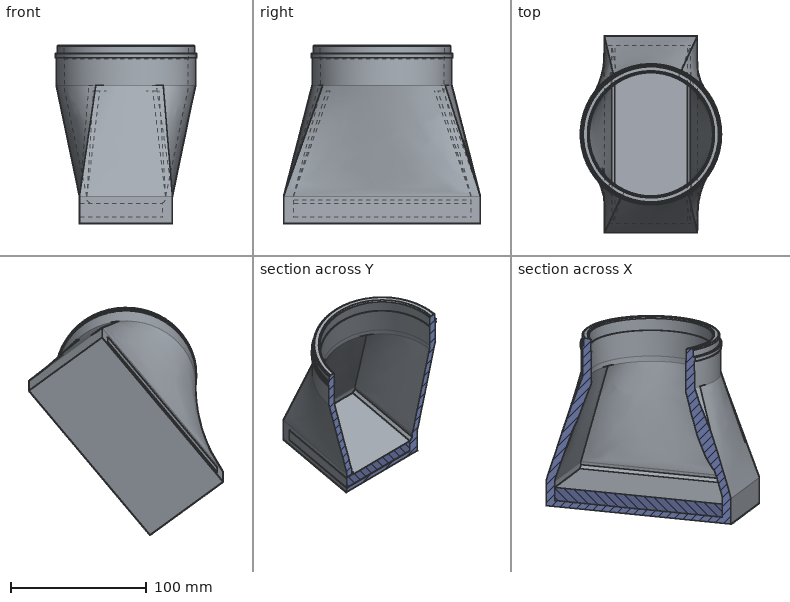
import cadquery as cq
import math

foot_x = 68.5
foot_y = 145.0
foot_height = 20.0

total_height = 131.5
transition_height = 82.0
collar_bottom = foot_height + transition_height
collar_height = 20.0
collar_radius = 103.0 / 2
rib_radius = 104.0 / 2
rib_bottom = collar_bottom + collar_height
rib_top = rib_bottom + 3.5
rib_chamfer = 0.4
spigot_radius = 101.6 / 2
spigot_chamfer = 1.0

spigot_bore_radius = 91.6 / 2
collar_bore_radius = 91.0 / 2
duct_top_radius = 90.8 / 2
spigot_bore_bottom = 121.5
duct_top = collar_bottom - 4.0

plate_margin_y = 7.0
plate_margin_z = 5.0
plate_y = foot_y - 2 * plate_margin_y
plate_thickness = foot_height - 2 * plate_margin_z
plate_top = plate_margin_z + plate_thickness

duct_x = 58.0
duct_y = plate_y
throat_chamfer = 2.4
throat_x = duct_x - 2 * throat_chamfer
throat_top = plate_top + throat_chamfer

short_side_arc = math.pi * foot_x / (foot_x + foot_y)
long_side_arc = math.pi - short_side_arc


def revolved(profile):
    """Turn a list of (radius, z) points about the Z axis, closing it along the axis."""
    axis_bottom = (0, profile[0][1])
    axis_top = (0, profile[-1][1])
    outline = cq.Workplane("XZ").polyline([axis_bottom] + profile + [axis_top]).close()
    return outline.revolve(360, (0, 0), (0, 1))


def square_to_round(size_x, size_y, z_bottom, radius, z_top):
    """Solid blending a rectangle into a circle, with one ruled face for each rectangle side."""

    def rim_point(angle):
        return cq.Vector(radius * math.cos(angle), radius * math.sin(angle), z_top)

    corner_signs = [(1, 1), (-1, 1), (-1, -1), (1, -1)]
    corners = [cq.Vector(sx * size_x / 2, sy * size_y / 2, z_bottom) for sx, sy in corner_signs]
    base_edges = []
    rim_edges = []
    start = math.pi - 2 * short_side_arc
    for side in range(4):
        arc = short_side_arc if side % 2 == 0 else long_side_arc
        end = start + arc
        base_edges.append(cq.Edge.makeLine(corners[side], corners[(side + 1) % 4]))
        rim_edges.append(
            cq.Edge.makeThreePointArc(rim_point(start), rim_point(start + arc / 2), rim_point(end))
        )
        start = end
    faces = [cq.Face.makeRuledSurface(base, rim) for base, rim in zip(base_edges, rim_edges)]
    faces.append(cq.Face.makeFromWires(cq.Wire.assembleEdges(base_edges)))
    faces.append(cq.Face.makeFromWires(cq.Wire.assembleEdges(rim_edges)))
    return cq.Workplane(cq.Solid.makeSolid(cq.Shell.makeShell(faces)))


def make_outer_form():
    foot = cq.Workplane("XY").box(foot_x, foot_y, foot_height, centered=(True, True, False))
    transition = square_to_round(foot_x, foot_y, foot_height, collar_radius, collar_bottom)
    collar = revolved([
        (collar_radius, collar_bottom),
        (collar_radius, rib_bottom),
        (rib_radius, rib_bottom),
        (rib_radius, rib_top - rib_chamfer),
        (rib_radius - rib_chamfer, rib_top),
        (spigot_radius, rib_top),
        (spigot_radius, total_height - spigot_chamfer),
        (spigot_radius - spigot_chamfer, total_height),
    ])
    return foot.union(transition).union(collar)


def make_cavity():
    throat = (
        cq.Workplane("XZ", origin=(0, duct_y / 2, 0))
        .polyline([
            (-throat_x / 2, plate_top),
            (throat_x / 2, plate_top),
            (duct_x / 2, throat_top),
            (duct_x / 2, foot_height),
            (-duct_x / 2, foot_height),
            (-duct_x / 2, throat_top),
        ])
        .close()
        .extrude(duct_y)
    )
    duct = square_to_round(duct_x, duct_y, foot_height, duct_top_radius, duct_top)
    bore = revolved([
        (duct_top_radius, duct_top),
        (collar_bore_radius, collar_bottom),
        (collar_bore_radius, spigot_bore_bottom),
        (spigot_bore_radius, spigot_bore_bottom),
        (spigot_bore_radius, total_height - spigot_chamfer),
        (spigot_bore_radius + spigot_chamfer, total_height),
    ])
    return throat.union(duct).union(bore)


def make_plate():
    """Plate flush with the -X face that closes the throat from below."""
    length = (foot_x + throat_x) / 2
    plate = cq.Workplane("XY").box(length, plate_y, plate_thickness, centered=(False, True, False))
    return plate.translate((-foot_x / 2, 0, plate_margin_z))


slide_plate = make_plate()
housing = make_outer_form().cut(make_cavity()).cut(slide_plate)

result = cq.Compound.makeCompound([housing.val(), slide_plate.val()])